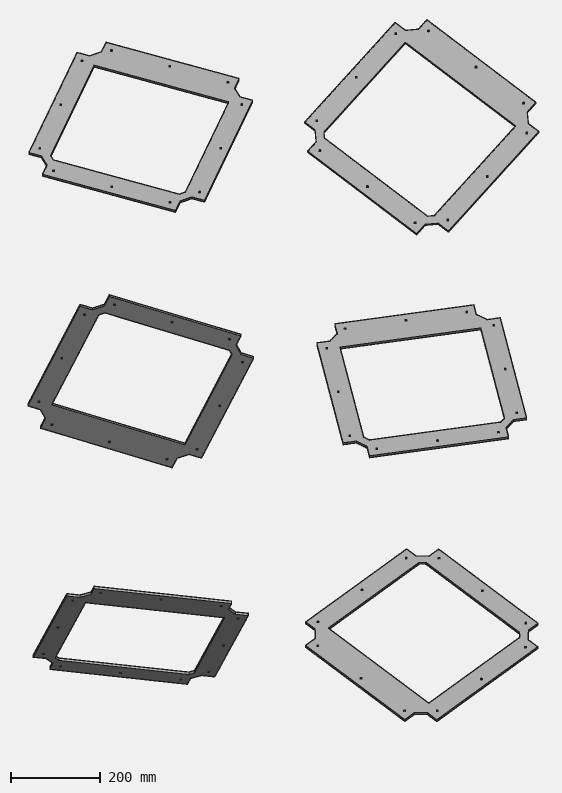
import cadquery as cq

side = 416.5
thickness = 6.3
half_side = side / 2

notch = 50.5
notch_bevel = 20.5

window_half_width = 159.5
window_bottom = -window_half_width
window_top = 135.0
window_bevel = 10.5

hole_diameter = 4.0
hole_edge_distance = 18.8
hole_spacing = 138.0


def make_plate():
    """Square plate centred in X and Y, resting on Z = 0."""
    return cq.Workplane("XY").box(side, side, thickness, centered=(True, True, False))


def make_corner_notch(x_sign, y_sign):
    """Cutter for one corner, with material left across its inner corner."""
    inner = half_side - notch
    bevel_end = inner + notch_bevel
    outline = [
        (half_side, half_side),
        (inner, half_side),
        (inner, bevel_end),
        (bevel_end, inner),
        (half_side, inner),
    ]
    points = [(x_sign * x, y_sign * y) for x, y in outline]
    return cq.Workplane("XY").polyline(points).close().extrude(thickness)


def make_window():
    """Cutter for the window, bevelled at its two -Y corners."""
    height = window_top - window_bottom
    center_y = (window_top + window_bottom) / 2
    return (
        cq.Workplane("XY")
        .center(0, center_y)
        .rect(2 * window_half_width, height)
        .extrude(thickness)
        .faces("<Y")
        .edges("|Z")
        .chamfer(window_bevel)
    )


def make_holes():
    """Cutters for the rows of through holes along all four sides."""
    row_distance = half_side - hole_edge_distance
    centers = []
    for row in (-row_distance, row_distance):
        for along in (-hole_spacing, 0, hole_spacing):
            centers.append((along, row))
            centers.append((row, along))
    return cq.Workplane("XY").pushPoints(centers).circle(hole_diameter / 2).extrude(thickness)


result = make_plate()
for x_sign in (-1, 1):
    for y_sign in (-1, 1):
        result = result.cut(make_corner_notch(x_sign, y_sign))
result = result.cut(make_window()).cut(make_holes())